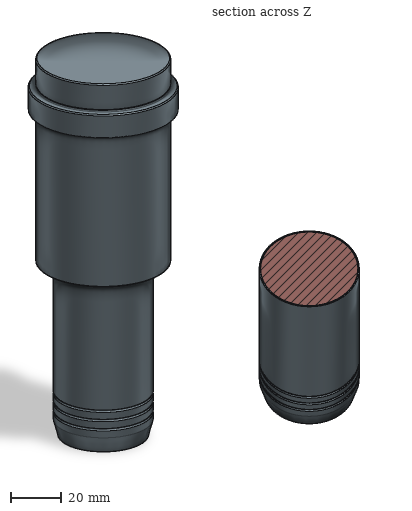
import cadquery as cq
import math


total_length = 163.0
body_radius = 54.0 / 2
flange_radius = 60.0 / 2
pin_radius = 40.0 / 2
head_length = 12.0
flange_thickness = 10.0
pin_length = 75.0

edge_chamfer = 0.5

flange_relief_width = 1.0
root_relief_width = 1.0
root_relief_depth = 0.5

taper_length = 7.0
taper_angle = 15.0
nose_radius = 0.5

groove_count = 3
groove_pitch = 4.0
groove_width = 1.0
lowest_groove_height = 10.5

flange_top = total_length - head_length
flange_bottom = flange_top - flange_thickness
tip_radius = pin_radius - taper_length * math.tan(math.radians(taper_angle))


def disc(radius, bottom, top):
    """Solid cylinder on the Z axis between two levels."""
    return cq.Workplane("XY").workplane(offset=bottom).circle(radius).extrude(top - bottom)


def round_ring(path_radius, height, width):
    """Ring of round section that cuts a half-round groove into a cylinder of the path radius."""
    section = cq.Workplane("XZ").center(-path_radius, height).circle(width / 2)
    return section.revolve(360, (path_radius, 0, 0), (path_radius, 1, 0))


def make_body():
    """Large cylinder with broken ends and a half-round relief on each side of the flange."""
    body = disc(body_radius, pin_length, total_length).edges().chamfer(edge_chamfer)
    for relief_height in (flange_top + flange_relief_width / 2, flange_bottom - flange_relief_width / 2):
        body = body.cut(round_ring(body_radius, relief_height, flange_relief_width))
    return body


def make_flange():
    """Locating collar with its upper rim broken."""
    return disc(flange_radius, flange_bottom, flange_top).faces(">Z").edges().chamfer(edge_chamfer)


def make_pin():
    """Tapered pin with a rounded nose, ring grooves and a stepped-down root."""
    root_bottom = pin_length - root_relief_width
    root_radius = pin_radius - root_relief_depth
    profile = [
        (0, 0),
        (-tip_radius, 0),
        (-pin_radius, taper_length),
        (-pin_radius, root_bottom),
        (-root_radius, root_bottom),
        (-root_radius, pin_length),
        (0, pin_length),
    ]
    pin = cq.Workplane("XZ").polyline(profile).close().revolve(360, (0, 0, 0), (0, 1, 0))
    pin = pin.faces("<Z").edges().fillet(nose_radius)
    for index in range(groove_count):
        groove_height = lowest_groove_height + index * groove_pitch
        pin = pin.cut(round_ring(pin_radius, groove_height, groove_width))
    return pin


result = make_body().union(make_flange()).union(make_pin())